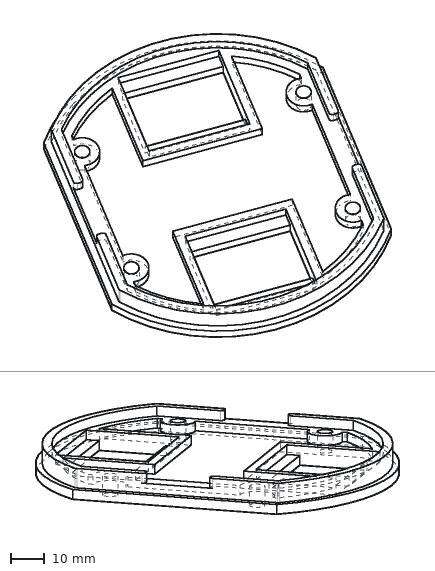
import cadquery as cq
import math

flange_top = 3.0
total_height = 9.0
step_top = 6.0

flange_radius = 54.3
flange_half_width = 44.0
rim_radius = 52.3
rim_half_width = 41.7
wall = 2.9
rim_inner_radius = rim_radius - wall
rim_inner_half_width = rim_half_width - wall
floor_radius = rim_inner_radius - wall
floor_half_width = rim_inner_half_width - wall

gap_half_length = 10.0
rim_edge_fillet = 1.0

window_center_x = 31.3
window_pocket_length = 28.9
window_width = 31.7
window_opening_length = 20.9

boss_x = 22.9
boss_y = 34.9
boss_radius = 5.2
screw_hole_radius = 2.3


def flatted_disc(radius, half_width, bottom, top):
    """Disc cut by two flats parallel to X, between two heights."""
    corner_x = math.sqrt(radius**2 - half_width**2)
    return (
        cq.Workplane("XY", origin=(0, 0, bottom))
        .moveTo(-corner_x, -half_width)
        .lineTo(corner_x, -half_width)
        .threePointArc((radius, 0), (corner_x, half_width))
        .lineTo(-corner_x, half_width)
        .threePointArc((-radius, 0), (-corner_x, -half_width))
        .close()
        .extrude(top - bottom)
    )


def window_block(length, width, bottom, top):
    """Matching rectangular blocks at both window positions."""
    return (
        cq.Workplane("XY", origin=(0, 0, bottom))
        .pushPoints([(-window_center_x, 0), (window_center_x, 0)])
        .rect(length, width)
        .extrude(top - bottom)
    )


def boss_cylinders(radius, bottom, top):
    """Cylinders at the four screw positions."""
    return (
        cq.Workplane("XY", origin=(0, 0, bottom))
        .rect(2 * boss_x, 2 * boss_y, forConstruction=True)
        .vertices()
        .circle(radius)
        .extrude(top - bottom)
    )


def make_rim():
    """Upper rim in two halves, with rounded ends and outer corners."""
    outer = flatted_disc(rim_radius, rim_half_width, step_top, total_height)
    outer = outer.edges("|Z").fillet(rim_edge_fillet)
    inner = flatted_disc(rim_inner_radius, rim_inner_half_width, step_top, total_height)
    gap = (
        cq.Workplane("XY", origin=(0, 0, step_top))
        .rect(2 * gap_half_length, 2 * flange_half_width)
        .extrude(total_height - step_top)
    )
    rim = outer.cut(inner).cut(gap)
    end_zone = cq.selectors.BoxSelector(
        (-gap_half_length - wall / 2, -flange_half_width, 0),
        (gap_half_length + wall / 2, flange_half_width, total_height),
    )
    return rim.edges("|Z").edges(end_zone).fillet(rim_edge_fillet)


flange = flatted_disc(flange_radius, flange_half_width, 0, flange_top)
step = flatted_disc(rim_radius, rim_half_width, flange_top, step_top)
step = step.edges("|Z").fillet(rim_edge_fillet)
recess = flatted_disc(floor_radius, floor_half_width, flange_top, step_top)

bosses = boss_cylinders(boss_radius, flange_top, step_top)
frames = window_block(
    window_pocket_length + 2 * wall, window_width + 2 * wall, flange_top, step_top
).intersect(flatted_disc(rim_inner_radius, rim_inner_half_width, flange_top, step_top))

body = flange.union(step.cut(recess)).union(bosses).union(frames).union(make_rim())

body = body.cut(window_block(window_pocket_length, window_width, flange_top, step_top))
body = body.cut(window_block(window_opening_length, window_width, 0, flange_top))

result = body.cut(boss_cylinders(screw_hole_radius, 0, step_top))